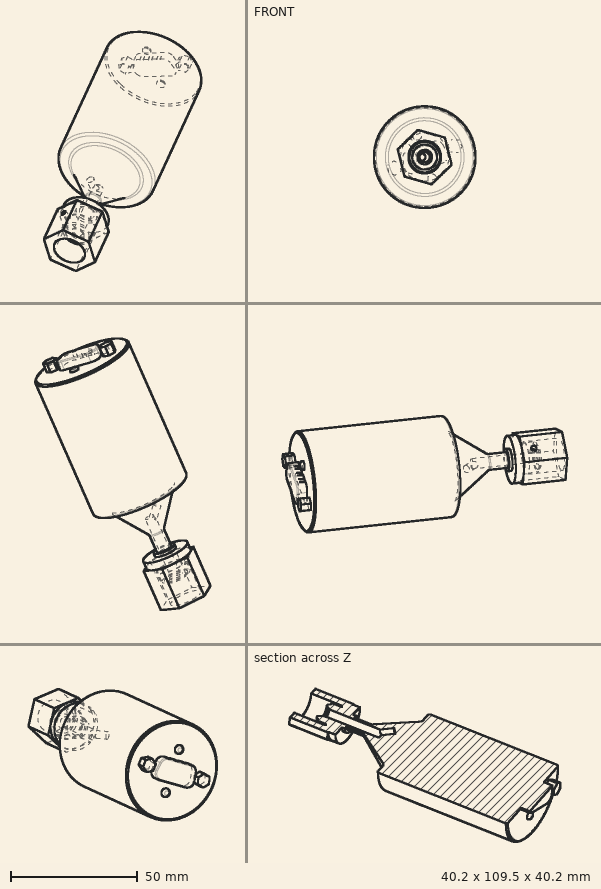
import cadquery as cq
import math


total_length = 109.5
nut_length = 17.4
collar_end = 20.7
flange_end = 22.0
cone_start = 29.5
body_start = 45.9
body_end = 105.5

body_radius = 40.2 / 2
body_front_fillet = 1.0
body_rear_chamfer = 0.7
cone_base_radius = 14.8
cone_base_fillet = 1.4
neck_radius = 6.3 / 2
neck_fillet = 1.1
flange_radius = 4.5
collar_radius = 9.5

nut_corner_radius = 11.1
nut_corner_angle = -16.0
nut_corner_chamfer = 0.2
nut_bore_radius = 6.5
nut_bore_depth = 14.2
leak_hole_diameter = 2.1
leak_hole_y = 12.6

gland_radius = 6.0
gland_face_y = 9.9
bead_outer_radius = 4.9
bead_inner_radius = 2.8
bore_radius = 4.0 / 2
mouth_depth = 1.1
bore_end = 36.1
port_diameter = 3.1
port_offset = 1.6
port_tilt = 40.0
port_length = 4.4

connector_tilt = 20.0
shell_half_height = 4.6
shell_half_width = 8.8
shell_side_angle = 10.0
shell_corner_radius = 3.0
shell_edge_fillet = 0.4
standoff_offset = 12.7
standoff_corner_radius = 2.8
standoff_corner_angles = (34.0, -4.0)
screw_x = 3.0
screw_z = 8.4
screw_diameter = 3.5
screw_height = 1.1
screw_edge_fillet = 0.9
notch_pitch = 3.7
notch_width = 1.5
notch_height = 2.1
notch_depth = 0.3

embed = 0.5


def plane_at(y):
    """Sketch plane across the axis: local x = X, local y = Z, normal = -Y."""
    return cq.Plane(origin=(0, y, 0), xDir=(1, 0, 0), normal=(0, -1, 0))


def cylinder(radius, start, end):
    return cq.Workplane(plane_at(end)).circle(radius).extrude(end - start)


def revolve_about_y(profile):
    return profile.close().revolve(360, (0, 0, 0), (0, 1, 0))


def polar(radius, angle):
    return (radius * math.cos(math.radians(angle)), radius * math.sin(math.radians(angle)))


def hex_prism(corner_radius, corner_angle, start, end):
    corners = [polar(corner_radius, corner_angle + 60 * i) for i in range(6)]
    return cq.Workplane(plane_at(end)).polyline(corners).close().extrude(end - start)


def ring_edge(radius, y):
    """Select the circular edge of this radius that lies in the plane at y."""
    margin = 0.1

    def box(half_width):
        return cq.selectors.BoxSelector(
            (half_width, y + margin, half_width),
            (-half_width, y - margin, -half_width),
            boundingbox=True,
        )

    return box(radius + margin) - box(radius - margin)


def make_body():
    profile = (
        cq.Workplane("XY")
        .moveTo(0, collar_end - embed)
        .lineTo(flange_radius, collar_end - embed)
        .lineTo(flange_radius, flange_end)
        .lineTo(neck_radius, flange_end)
        .lineTo(neck_radius, cone_start)
        .lineTo(cone_base_radius, body_start)
        .lineTo(body_radius, body_start)
        .lineTo(body_radius, body_end)
        .lineTo(0, body_end)
    )
    body = revolve_about_y(profile)
    body = body.edges(ring_edge(neck_radius, cone_start)).fillet(neck_fillet)
    body = body.edges(ring_edge(cone_base_radius, body_start)).fillet(cone_base_fillet)
    body = body.edges(ring_edge(body_radius, body_start)).fillet(body_front_fillet)
    return body.edges(ring_edge(body_radius, body_end)).chamfer(body_rear_chamfer)


def make_nut():
    nut = hex_prism(nut_corner_radius, nut_corner_angle, 0, nut_length)
    blank = cylinder(nut_corner_radius, 0, nut_length).faces("<Y").chamfer(nut_corner_chamfer)
    nut = nut.intersect(blank)
    nut = nut.union(cylinder(collar_radius, nut_length - embed, collar_end))
    nut = nut.cut(cylinder(nut_bore_radius, 0, nut_bore_depth))

    flat_angle = nut_corner_angle + 2 * 60 + 30
    outward = polar(1, flat_angle)
    leak_plane = cq.Plane(
        origin=(0, leak_hole_y, 0), xDir=(0, 1, 0), normal=(outward[0], 0, outward[1])
    )
    leak_hole = cq.Workplane(leak_plane).workplane(offset=gland_radius)
    return nut.cut(leak_hole.circle(leak_hole_diameter / 2).extrude(nut_corner_radius))


def make_gland():
    gland = cylinder(gland_radius, gland_face_y, nut_bore_depth + embed)
    bead_radius = (bead_outer_radius - bead_inner_radius) / 2
    bead = (
        cq.Workplane("XY")
        .moveTo(bead_inner_radius, gland_face_y + embed)
        .lineTo(bead_inner_radius, gland_face_y)
        .threePointArc(
            (bead_inner_radius + bead_radius, gland_face_y - bead_radius),
            (bead_outer_radius, gland_face_y),
        )
        .lineTo(bead_outer_radius, gland_face_y + embed)
    )
    return gland.union(revolve_about_y(bead))


def make_bore():
    profile = (
        cq.Workplane("XY")
        .moveTo(0, gland_face_y)
        .lineTo(bead_inner_radius, gland_face_y)
        .lineTo(bore_radius, gland_face_y + mouth_depth)
        .lineTo(bore_radius, bore_end)
        .lineTo(0, bore_end)
    )
    tilt = math.radians(port_tilt)
    direction = cq.Vector(-math.sin(tilt), math.cos(tilt), 0)
    port_radius = port_diameter / 2
    lead_in = port_radius * math.tan(tilt)
    start = cq.Vector(-port_offset, bore_end, 0) - direction * lead_in
    port = cq.Solid.makeCylinder(port_radius, port_length + lead_in, start, direction)
    return revolve_about_y(profile).union(cq.Workplane(port))


def make_shell():
    flare = shell_half_height * math.tan(math.radians(shell_side_angle))
    top = shell_half_width - flare
    bottom = shell_half_width + flare
    shell = (
        cq.Workplane(plane_at(total_length))
        .polyline(
            [
                (-top, shell_half_height),
                (top, shell_half_height),
                (bottom, -shell_half_height),
                (-bottom, -shell_half_height),
            ]
        )
        .close()
        .extrude(total_length - body_end + embed)
        .edges("|Y")
        .fillet(shell_corner_radius)
        .faces(">Y")
        .edges()
        .fillet(shell_edge_fillet)
    )
    for i in (-1, 0, 1):
        left = i * notch_pitch - notch_width / 2
        notch = (
            cq.Workplane("YZ", origin=(left, body_end, shell_half_height))
            .moveTo(0, 0)
            .lineTo(notch_height, 0)
            .lineTo(0, -notch_depth)
            .close()
            .extrude(notch_width)
        )
        shell = shell.cut(notch)
    return shell.rotate((0, 0, 0), (0, 1, 0), -connector_tilt)


def make_standoffs():
    standoffs = cq.Workplane()
    for side, corner_angle in zip((-1, 1), standoff_corner_angles):
        x, z = polar(side * standoff_offset, connector_tilt)
        post = hex_prism(standoff_corner_radius, corner_angle, body_end - embed, total_length)
        standoffs = standoffs.add(post.translate((x, 0, z)))
    return standoffs.combine()


def make_screws():
    head = cylinder(screw_diameter / 2, body_end - embed, body_end + screw_height)
    head = head.faces(">Y").fillet(screw_edge_fillet)
    upper = head.translate((-screw_x, 0, screw_z))
    lower = head.translate((screw_x, 0, -screw_z))
    return upper.union(lower)


result = make_body().union(make_nut()).union(make_gland()).cut(make_bore())
result = result.union(make_shell()).union(make_standoffs()).union(make_screws())